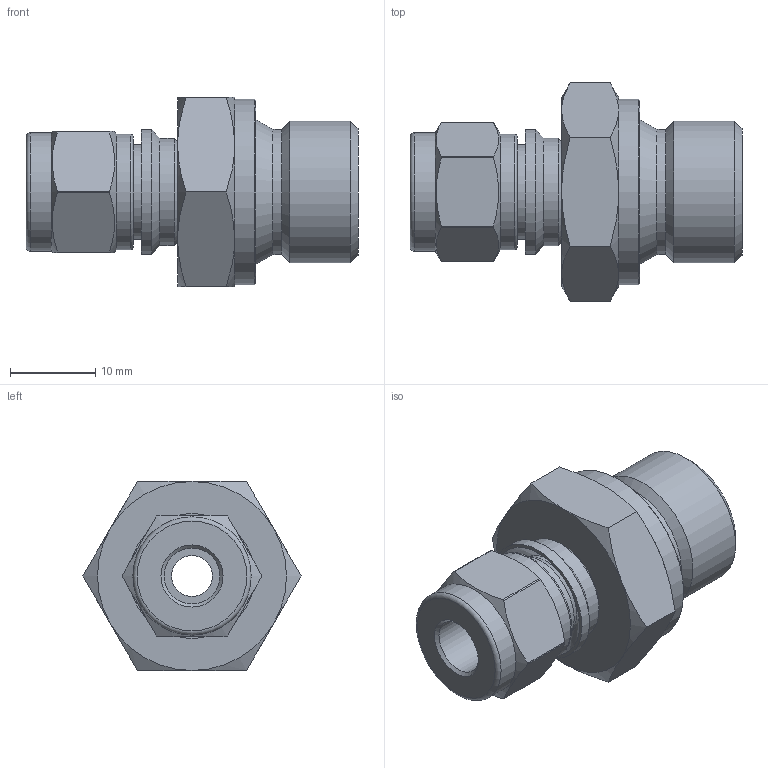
import cadquery as cq
import math


points_per_flats = 1 / math.cos(math.pi / 6)

nut_hex_start = 2.97
nut_hex_end = 10.62
nut_end = 12.6
flange_start = 13.55
neck_cone_start = 14.05
flange_end = 14.8
shank_start = 15.73
body_hex_start = 17.83
body_hex_end = 24.53
collar_end = 27.0
relief_start = 29.03
relief_end = 30.07
overall_length = 39.04

nut_across_flats = 14.29
nut_corner_diameter = 16.4
nut_front_diameter = 13.9
nut_front_fillet = 0.5
nut_rear_diameter = 13.6
nut_rear_fillet = 0.35

neck_diameter = 11.11
neck_root_diameter = 10.1
neck_cone_angle = 30.0
flange_recess_diameter = 13.9
flange_recess_angle = 45.0
flange_diameter = 14.7
shank_diameter = 12.6
shank_chamfer = 0.4

body_across_flats = 22.23
body_corner_diameter = body_across_flats * points_per_flats
collar_diameter = 21.8
collar_chamfer = 0.1

thread_diameter = 16.62
thread_chamfer = 0.9
relief_diameter = 14.7
relief_cone_angle = 30.0
relief_runout = (thread_diameter - relief_diameter) / 2

tube_bore_diameter = 6.55
tube_bore_depth = 15.0
tube_bore_chamfer = 0.38
through_bore_diameter = 4.83

hex_chamfer_angle = 30.0


def revolve_profile(points):
    """Revolve a list of (x, radius) points, closed along the axis, about X."""
    outline = [(points[0][0], 0), *points, (points[-1][0], 0)]
    return cq.Workplane("XY").polyline(outline).close().revolve(360, (0, 0), (1, 0))


def cylinder(start, end, diameter):
    """Cylinder about X between two X positions."""
    return cq.Workplane("YZ", origin=(start, 0, 0)).circle(diameter / 2).extrude(end - start)


def chamfered_hex(start, end, across_flats, corner_diameter, front_diameter, rear_diameter):
    """Hexagon with flats facing +Z and -Z and conical corner chamfers on both ends."""
    point_diameter = across_flats * points_per_flats
    prism = cq.Workplane("YZ", origin=(start, 0, 0)).polygon(6, point_diameter).extrude(end - start)
    slope = math.tan(math.radians(hex_chamfer_angle))
    front_length = (corner_diameter - front_diameter) / 2 * slope
    rear_length = (corner_diameter - rear_diameter) / 2 * slope
    envelope = revolve_profile([
        (start, front_diameter / 2),
        (start + front_length, corner_diameter / 2),
        (end - rear_length, corner_diameter / 2),
        (end, rear_diameter / 2),
    ])
    return prism.intersect(envelope)


def make_nut():
    front = cylinder(0, nut_hex_start, nut_front_diameter).faces("<X").edges().fillet(nut_front_fillet)
    hexagon = chamfered_hex(
        nut_hex_start, nut_hex_end, nut_across_flats, nut_corner_diameter,
        nut_front_diameter, nut_rear_diameter,
    )
    rear = cylinder(nut_hex_end, nut_end, nut_rear_diameter).faces(">X").edges().fillet(nut_rear_fillet)
    return front.union(hexagon).union(rear)


def make_neck():
    cone_drop = (neck_diameter - neck_root_diameter) / 2
    neck_cone_end = neck_cone_start + cone_drop / math.tan(math.radians(neck_cone_angle))
    recess_drop = (flange_recess_diameter - neck_root_diameter) / 2
    recess_bottom = flange_start + recess_drop / math.tan(math.radians(flange_recess_angle))
    return revolve_profile([
        (nut_end, neck_diameter / 2),
        (neck_cone_start, neck_diameter / 2),
        (neck_cone_end, neck_root_diameter / 2),
        (recess_bottom, neck_root_diameter / 2),
        (flange_start, flange_recess_diameter / 2),
        (flange_start, flange_diameter / 2),
        (flange_end, flange_diameter / 2),
        (shank_start, shank_diameter / 2),
        (body_hex_start - shank_chamfer, shank_diameter / 2),
        (body_hex_start, shank_diameter / 2 - shank_chamfer),
    ])


def make_body():
    hexagon = chamfered_hex(
        body_hex_start, body_hex_end, body_across_flats, body_corner_diameter,
        body_across_flats, body_across_flats,
    )
    collar = cylinder(body_hex_end, collar_end, collar_diameter).faces(">X").chamfer(collar_chamfer)
    return hexagon.union(collar)


def make_threaded_stub():
    relief_rise = (relief_start - collar_end) * math.tan(math.radians(relief_cone_angle))
    return revolve_profile([
        (collar_end, relief_diameter / 2 + relief_rise),
        (relief_start, relief_diameter / 2),
        (relief_end, relief_diameter / 2),
        (relief_end + relief_runout, thread_diameter / 2),
        (overall_length - thread_chamfer, thread_diameter / 2),
        (overall_length, thread_diameter / 2 - thread_chamfer),
    ])


def make_bores():
    tube_bore = revolve_profile([
        (0, tube_bore_diameter / 2 + tube_bore_chamfer),
        (tube_bore_chamfer, tube_bore_diameter / 2),
        (tube_bore_depth, tube_bore_diameter / 2),
    ])
    return tube_bore.union(cylinder(0, overall_length, through_bore_diameter))


solid_fitting = make_nut().union(make_neck()).union(make_body()).union(make_threaded_stub())
result = solid_fitting.cut(make_bores())